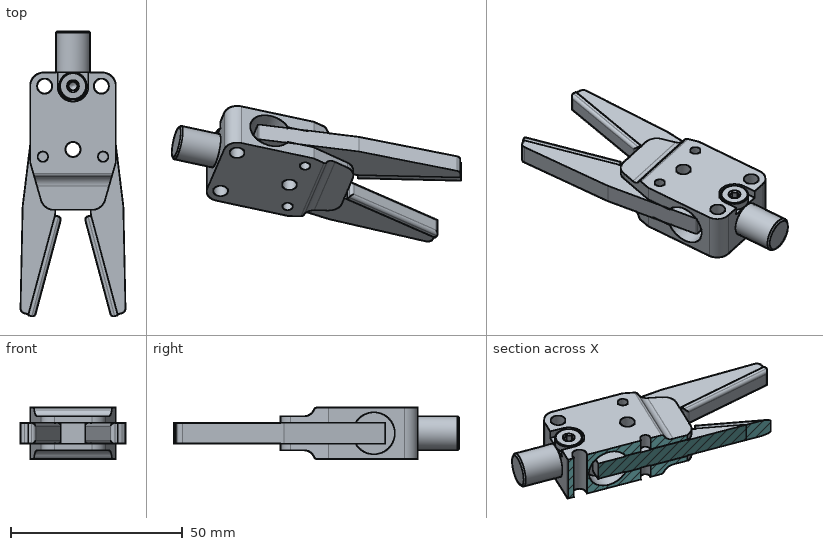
import cadquery as cq
import math


WIDTH = 25.0
HEIGHT = 15.0
LENGTH = 40.0
REAR_CORNER_R = 4.0
TAPER_START = 26.0
TAPER_ANGLE = 16.0
LIP_CORNER_R = 4.0

LIP_HEIGHT = 10.0
STEP_START = 29.3
STEP_TOP_R = 1.0
STEP_FOOT_R = 3.0

SPIGOT_D = 10.0
SPIGOT_LENGTH = 12.0
SPIGOT_CHAMFER = 0.5

MOUNT_HOLE_D = 4.3
REAR_HOLE_X = 8.25
REAR_HOLE_Y = -4.0
CENTRE_HOLE_Y = -22.4
PIVOT_X = 8.75
PIVOT_Y = -24.5
PIVOT_HOLE_D = 3.0
BORE_D = 12.2
BORE_Y = -12.8
WEB_WIDTH = 9.3
WEB_FRONT_Y = -35.6

SCREW_Y = REAR_HOLE_Y
SEAT_WIDTH = 9.0
SEAT_Z = 5.0
HEAD_D = 8.0
HEAD_CHAMFER = 0.25
SHANK_D = 5.0
SHANK_LENGTH = 4.0
SOCKET_SIDES = 6
SOCKET_FLATS = 2.5
SOCKET_DEPTH = 2.5
SOCKET_TIP_DEPTH = 0.7
SOCKET_TURN = 30.0
SOCKET_RIM_D = 3.5

JAW_THICKNESS = 6.0
OPEN_ANGLE = 15.0
TAIL_Y = -9.5
TAIL_FILLET_R = 0.3
TAIL_OUTER_X = -11.05
JAW_INNER_X = -5.15
BEND_X = -14.675
BEND_Y = -39.0
OUTER_TIP_ANGLE = 1.2
JAW_REACH = 45.4
TIP_CORNER_R = 1.5

PAD_OFFSET = 7.8
PAD_START = 15.6
PAD_END = 45.7
PAD_THICKNESS = 2.0
PAD_FILLET_R = 1.0


def housing_outline():
    """Plan of the housing: rounded at the rear, tapered and rounded at the front."""
    half = WIDTH / 2
    front_half = half - (LENGTH - TAPER_START) * math.tan(math.radians(TAPER_ANGLE))
    plan = (
        cq.Workplane("XY", origin=(0, 0, -HEIGHT / 2))
        .polyline([
            (-half, 0), (half, 0), (half, -TAPER_START), (front_half, -LENGTH),
            (-front_half, -LENGTH), (-half, -TAPER_START),
        ])
        .close()
        .extrude(HEIGHT)
    )
    plan = plan.edges("|Z").edges(">Y").fillet(REAR_CORNER_R)
    return plan.edges("|Z").edges("<Y").fillet(LIP_CORNER_R)


def step_cutter():
    """Material above the upper lip, bounded by an S-shaped step of two tangent arcs."""
    top = HEIGHT / 2
    lip = LIP_HEIGHT / 2
    turn = math.acos(1 - (top - lip) / (STEP_TOP_R + STEP_FOOT_R))
    y_start = -STEP_START
    y_joint = y_start - STEP_TOP_R * math.sin(turn)
    z_joint = top - STEP_TOP_R * (1 - math.cos(turn))
    y_foot = y_joint - STEP_FOOT_R * math.sin(turn)
    top_mid = (y_start - STEP_TOP_R * math.sin(turn / 2), top - STEP_TOP_R * (1 - math.cos(turn / 2)))
    foot_mid = (y_foot + STEP_FOOT_R * math.sin(turn / 2), lip + STEP_FOOT_R * (1 - math.cos(turn / 2)))
    return (
        cq.Workplane("YZ")
        .moveTo(y_start, top)
        .threePointArc(top_mid, (y_joint, z_joint))
        .threePointArc(foot_mid, (y_foot, lip))
        .lineTo(-LENGTH, lip)
        .lineTo(-LENGTH, top)
        .close()
        .extrude(WIDTH / 2, both=True)
    )


def spigot():
    return (
        cq.Workplane("XZ")
        .circle(SPIGOT_D / 2)
        .extrude(-SPIGOT_LENGTH)
        .faces(">Y")
        .chamfer(SPIGOT_CHAMFER)
    )


def vertical_holes(points, diameter):
    return (
        cq.Workplane("XY", origin=(0, 0, -HEIGHT / 2))
        .pushPoints(points)
        .circle(diameter / 2)
        .extrude(HEIGHT)
    )


def jaw_space():
    """Slot for the jaws, open to the front and sides, around the central web."""
    slot_length = LENGTH + BORE_Y
    slot = (
        cq.Workplane("XY")
        .box(WIDTH, slot_length, JAW_THICKNESS)
        .translate((0, BORE_Y - slot_length / 2, 0))
    )
    web_length = BORE_Y - WEB_FRONT_Y
    web = (
        cq.Workplane("XY")
        .box(WEB_WIDTH, web_length, JAW_THICKNESS)
        .translate((0, (BORE_Y + WEB_FRONT_Y) / 2, 0))
    )
    return slot.cut(web)


def side_bore(side):
    """Round bore from one side face in to the web."""
    return (
        cq.Workplane("YZ", origin=(side * WEB_WIDTH / 2, 0, 0))
        .center(BORE_Y, 0)
        .circle(BORE_D / 2)
        .extrude(side * (WIDTH - WEB_WIDTH) / 2)
    )


def screw_seat():
    """Slot with a round end, open to the rear, and the hole for the screw's shank."""
    depth = HEIGHT / 2 - SEAT_Z
    floor = cq.Workplane("XY", origin=(0, 0, SEAT_Z))
    round_end = floor.center(0, SCREW_Y).circle(SEAT_WIDTH / 2).extrude(depth)
    open_end = floor.center(0, SCREW_Y / 2).rect(SEAT_WIDTH, -SCREW_Y).extrude(depth)
    shank_hole = floor.center(0, SCREW_Y).circle(SHANK_D / 2).extrude(-SHANK_LENGTH)
    rear_trim = floor.center(0, SEAT_WIDTH / 2).rect(SEAT_WIDTH, SEAT_WIDTH).extrude(depth)
    return round_end.cut(rear_trim).union(open_end).union(shank_hole)


def make_housing():
    upper_step = step_cutter()
    body = housing_outline().cut(upper_step).cut(upper_step.mirror("XY"))
    mounts = [(-REAR_HOLE_X, REAR_HOLE_Y), (REAR_HOLE_X, REAR_HOLE_Y), (0, CENTRE_HOLE_Y)]
    pivots = [(-PIVOT_X, PIVOT_Y), (PIVOT_X, PIVOT_Y)]
    body = body.cut(vertical_holes(mounts, MOUNT_HOLE_D))
    body = body.cut(vertical_holes(pivots, PIVOT_HOLE_D))
    body = body.cut(jaw_space())
    for side in (-1, 1):
        body = body.cut(side_bore(side))
    return body.union(spigot()).cut(screw_seat())


def make_screw():
    """Plug screw with a flat round head and a drill-tipped hex socket, flush with the housing's top."""
    top = HEIGHT / 2
    head = (
        cq.Workplane("XY", origin=(0, SCREW_Y, SEAT_Z))
        .circle(HEAD_D / 2)
        .extrude(top - SEAT_Z)
        .faces(">Z")
        .chamfer(HEAD_CHAMFER)
    )
    shank = cq.Workplane("XY", origin=(0, SCREW_Y, SEAT_Z)).circle(SHANK_D / 2).extrude(-SHANK_LENGTH)
    socket = (
        cq.Workplane("XY", origin=(0, SCREW_Y, top))
        .polygon(SOCKET_SIDES, SOCKET_FLATS, circumscribed=True)
        .extrude(-SOCKET_DEPTH)
        .rotate((0, SCREW_Y, 0), (0, SCREW_Y, 1), SOCKET_TURN)
    )
    tip_z = top - SOCKET_DEPTH - SOCKET_TIP_DEPTH
    tip_cone = cq.Solid.makeCone(0, SOCKET_FLATS / 2, SOCKET_TIP_DEPTH)
    tip = cq.Workplane(tip_cone).translate((0, SCREW_Y, tip_z))
    rim_r = SOCKET_RIM_D / 2
    rim = cq.Workplane(cq.Solid.makeCone(0, rim_r, rim_r)).translate((0, SCREW_Y, top - rim_r))
    return head.union(shank).cut(socket).cut(tip).cut(rim)


def open_point(along, inward):
    """Point of the opened -X jaw, measured from its pivot along the jaw and toward the middle."""
    swing = math.radians(OPEN_ANGLE)
    x = -PIVOT_X - along * math.sin(swing) + inward * math.cos(swing)
    y = PIVOT_Y - along * math.cos(swing) - inward * math.sin(swing)
    return (x, y)


def make_jaw():
    """The -X jaw, swung open about its pivot."""
    swing = math.radians(OPEN_ANGLE)
    end_x, end_y = open_point(JAW_REACH, PAD_OFFSET)
    flare = math.tan(math.radians(OUTER_TIP_ANGLE))
    end_slope = math.tan(swing)
    tip_x = (BEND_X - flare * (BEND_Y - end_y - end_slope * end_x)) / (1 + flare * end_slope)
    tip_y = end_y + end_slope * (end_x - tip_x)
    seat_y = end_y + (JAW_INNER_X - end_x) / math.tan(swing)
    return (
        cq.Workplane("XY", origin=(0, 0, -JAW_THICKNESS / 2))
        .polyline([
            (TAIL_OUTER_X, TAIL_Y), (JAW_INNER_X, TAIL_Y), (JAW_INNER_X, seat_y),
            (end_x, end_y), (tip_x, tip_y), (BEND_X, BEND_Y),
        ])
        .close()
        .extrude(JAW_THICKNESS)
        .edges(cq.selectors.NearestToPointSelector((tip_x, tip_y, 0)))
        .fillet(TIP_CORNER_R)
        .edges(cq.selectors.NearestToPointSelector((TAIL_OUTER_X, TAIL_Y, 0)))
        .fillet(TAIL_FILLET_R)
    )


def make_pad():
    """Pad on the -X jaw, with the rim of its gripping face rounded."""
    middle_x, middle_y = open_point((PAD_START + PAD_END) / 2, PAD_OFFSET + PAD_THICKNESS / 2)
    return (
        cq.Workplane("XY")
        .box(PAD_THICKNESS, PAD_END - PAD_START, JAW_THICKNESS)
        .faces(">X")
        .edges()
        .fillet(PAD_FILLET_R)
        .rotate((0, 0, 0), (0, 0, 1), -OPEN_ANGLE)
        .translate((middle_x, middle_y, 0))
    )


housing = make_housing()
screw = make_screw()
left_jaw = make_jaw()
left_pad = make_pad()
fingers = []
for body in (left_jaw, left_pad):
    fingers += [body.val(), body.mirror("YZ").val()]

result = cq.Compound.makeCompound([housing.val(), screw.val(), *fingers])